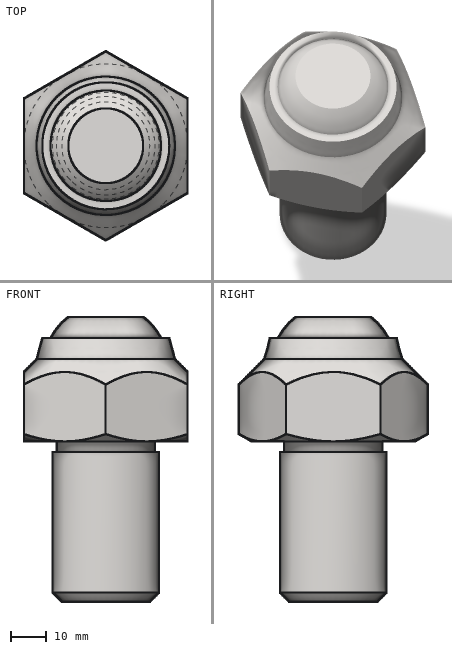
import cadquery as cq
import math

stud_diameter = 30.0
neck_diameter = 27.7
neck_bottom = 42.1
stud_chamfer = 2.6

hex_sides = 6
across_flats = 46.0
hex_bottom = 45.0
bottom_chamfer_angle = 30

collar_bottom = 68.1
collar_top = 74.1
collar_bottom_diameter = 38.9
collar_top_diameter = 35.7

total_height = 80
insert_base_diameter = 31.0
insert_top_diameter = 21.0

half_side_angle = 180 / hex_sides
corner_radius = across_flats / 2 / math.cos(math.radians(half_side_angle))
trim_radius = corner_radius + 0.8


def make_stud():
    """Chamfered shank with a reduced neck under the head."""
    shank = cq.Workplane("XY").circle(stud_diameter / 2).extrude(neck_bottom)
    shank = shank.faces("<Z").chamfer(stud_chamfer)
    neck = (
        cq.Workplane("XY")
        .workplane(offset=neck_bottom)
        .circle(neck_diameter / 2)
        .extrude(hex_bottom - neck_bottom)
    )
    return shank.union(neck)


def make_head():
    """Hexagon with two corners on Y, trimmed by cones at both ends."""
    hexagon = (
        cq.Workplane("XY")
        .workplane(offset=hex_bottom)
        .polygon(hex_sides, 2 * corner_radius)
        .extrude(collar_bottom - hex_bottom)
        .rotate((0, 0, 0), (0, 0, 1), half_side_angle)
    )
    bottom_rise = (trim_radius - across_flats / 2) * math.tan(math.radians(bottom_chamfer_angle))
    top_drop = trim_radius - collar_bottom_diameter / 2
    envelope = (
        cq.Workplane("XZ")
        .moveTo(0, hex_bottom)
        .lineTo(across_flats / 2, hex_bottom)
        .lineTo(trim_radius, hex_bottom + bottom_rise)
        .lineTo(trim_radius, collar_bottom - top_drop)
        .lineTo(collar_bottom_diameter / 2, collar_bottom)
        .lineTo(0, collar_bottom)
        .close()
        .revolve(360, (0, 0), (0, 1))
    )
    return hexagon.intersect(envelope)


def make_collar_and_insert():
    """Tapered collar carrying a truncated sphere."""
    base_radius = insert_base_diameter / 2
    top_radius = insert_top_diameter / 2
    insert_height = total_height - collar_top
    center_offset = (top_radius**2 + insert_height**2 - base_radius**2) / (2 * insert_height)
    sphere_radius = math.hypot(base_radius, center_offset)
    mid_height = insert_height / 2
    mid_radius = math.sqrt(sphere_radius**2 - (mid_height - center_offset) ** 2)
    return (
        cq.Workplane("XZ")
        .moveTo(0, collar_bottom)
        .lineTo(collar_bottom_diameter / 2, collar_bottom)
        .lineTo(collar_top_diameter / 2, collar_top)
        .lineTo(base_radius, collar_top)
        .threePointArc((mid_radius, collar_top + mid_height), (top_radius, total_height))
        .lineTo(0, total_height)
        .close()
        .revolve(360, (0, 0), (0, 1))
    )


result = make_stud().union(make_head()).union(make_collar_and_insert())